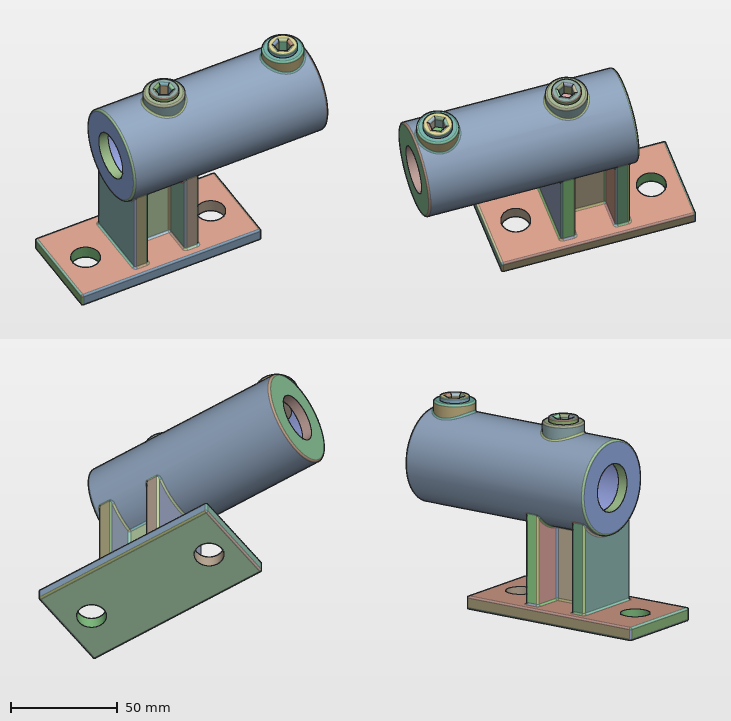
import cadquery as cq
WIDTH = 46.0
BASE_LENGTH = 96.1
BASE_HEIGHT = 6.5
BASE_HOLE_DIAMETER = 14.0
BASE_HOLE_INSET = 14.5

OVERALL_LENGTH = 132.0
TUBE_DIAMETER = WIDTH
TUBE_LENGTH = 104.0
TUBE_AXIS_Z = 65.1
TUBE_FRONT = OVERALL_LENGTH - TUBE_LENGTH
BORE_DIAMETER = 23.2
RELIEF_DIAMETER = 37.8
LIP_LENGTH = 5.0

POST_WIDTH = 36.0
POST_FRONT = 31.0
POST_LENGTH = 34.0
FLANGE_THICKNESS = 7.1
WEB_THICKNESS = 6.1

BOSS_DIAMETER = 19.9
BOSS_TOP = 93.0
REAR_BOSS_Y = 120.1
BOSS_SPACING = 63.6
BOSS_POSITIONS = (REAR_BOSS_Y, REAR_BOSS_Y - BOSS_SPACING)

CAST_RADIUS = 0.9

SCREW_DIAMETER = 14.0
SCREW_TOP = 95.0
SCREW_BOTTOM = TUBE_AXIS_Z + BORE_DIAMETER / 2
SCREW_EDGE_RADIUS = 0.4
SOCKET_ACROSS_FLATS = 6.6
SOCKET_ROUNDING = 1.3
SOCKET_DEPTH = 6.6

HEXAGON_CORNERS_PER_FLATS = 2 / 3 ** 0.5
MARGIN = 0.1


def cylinder_along_y(diameter, start, length):
    return (
        cq.Workplane("XZ", origin=(0, start, TUBE_AXIS_Z))
        .circle(diameter / 2)
        .extrude(-length)
    )


def make_base():
    plate = cq.Workplane("XY").box(WIDTH, BASE_LENGTH, BASE_HEIGHT, centered=(True, False, False))
    plate = plate.edges().fillet(CAST_RADIUS)
    hole_centres = [(0, BASE_HOLE_INSET), (0, BASE_LENGTH - BASE_HOLE_INSET)]
    holes = (
        cq.Workplane("XY")
        .pushPoints(hole_centres)
        .circle(BASE_HOLE_DIAMETER / 2)
        .extrude(BASE_HEIGHT)
    )
    return plate.cut(holes)


def make_post():
    """H-section column from the base plate up to the tube axis."""
    height = TUBE_AXIS_Z - BASE_HEIGHT
    column = cq.Workplane("XY").box(POST_WIDTH, POST_LENGTH, height, centered=(True, False, False))
    pocket_depth = (POST_WIDTH - WEB_THICKNESS) / 2
    pocket_length = POST_LENGTH - 2 * FLANGE_THICKNESS
    for side in (-1, 1):
        pocket_x = side * (WEB_THICKNESS + pocket_depth) / 2
        pocket = (
            cq.Workplane("XY")
            .center(pocket_x, POST_LENGTH / 2)
            .rect(pocket_depth, pocket_length)
            .extrude(height)
        )
        column = column.cut(pocket)
    return column.translate((0, POST_FRONT, BASE_HEIGHT))


def make_boss(y):
    return (
        cq.Workplane("XY", origin=(0, y, TUBE_AXIS_Z))
        .circle(BOSS_DIAMETER / 2)
        .extrude(BOSS_TOP - TUBE_AXIS_Z)
        .faces(">Z")
        .edges()
        .fillet(CAST_RADIUS)
    )


def make_bore():
    relief_length = TUBE_LENGTH - 2 * LIP_LENGTH
    bore = cylinder_along_y(BORE_DIAMETER, TUBE_FRONT, TUBE_LENGTH)
    return bore.union(cylinder_along_y(RELIEF_DIAMETER, TUBE_FRONT + LIP_LENGTH, relief_length))


def make_tube():
    """Outer tube with its bosses, before boring."""
    tube = cylinder_along_y(TUBE_DIAMETER, TUBE_FRONT, TUBE_LENGTH)
    for y in BOSS_POSITIONS:
        tube = tube.union(make_boss(y))
    tube = tube.edges("%BSPLINE").fillet(CAST_RADIUS)
    return tube.faces("<Y or >Y").edges().fillet(CAST_RADIUS)


def make_housing():
    housing = make_base().union(make_post()).union(make_tube())
    around_post = cq.selectors.BoxSelector(
        (-POST_WIDTH / 2 - MARGIN, POST_FRONT - MARGIN, BASE_HEIGHT - MARGIN),
        (POST_WIDTH / 2 + MARGIN, POST_FRONT + POST_LENGTH + MARGIN, TUBE_AXIS_Z - BORE_DIAMETER / 2),
    )
    housing = housing.edges(around_post).fillet(CAST_RADIUS)

    housing = housing.cut(make_bore())
    for y in BOSS_POSITIONS:
        screw_hole = (
            cq.Workplane("XY", origin=(0, y, TUBE_AXIS_Z))
            .circle(SCREW_DIAMETER / 2)
            .extrude(BOSS_TOP - TUBE_AXIS_Z)
        )
        housing = housing.cut(screw_hole)
    return housing


def make_set_screw(y):
    """Headless screw with a round-edged hexagon socket in its top."""
    screw = (
        cq.Workplane("XY", origin=(0, y, SCREW_BOTTOM))
        .circle(SCREW_DIAMETER / 2)
        .extrude(SCREW_TOP - SCREW_BOTTOM)
        .faces(">Z")
        .edges()
        .fillet(SCREW_EDGE_RADIUS)
    )
    socket = (
        cq.Workplane("XY", origin=(0, y, SCREW_TOP))
        .polygon(6, SOCKET_ACROSS_FLATS * HEXAGON_CORNERS_PER_FLATS)
        .extrude(-SOCKET_DEPTH)
    )
    return screw.cut(socket).faces(">Z").edges("%LINE").fillet(SOCKET_ROUNDING)


housing = make_housing()
set_screws = [make_set_screw(y) for y in BOSS_POSITIONS]

result = cq.Compound.makeCompound([housing.val(), *[screw.val() for screw in set_screws]])